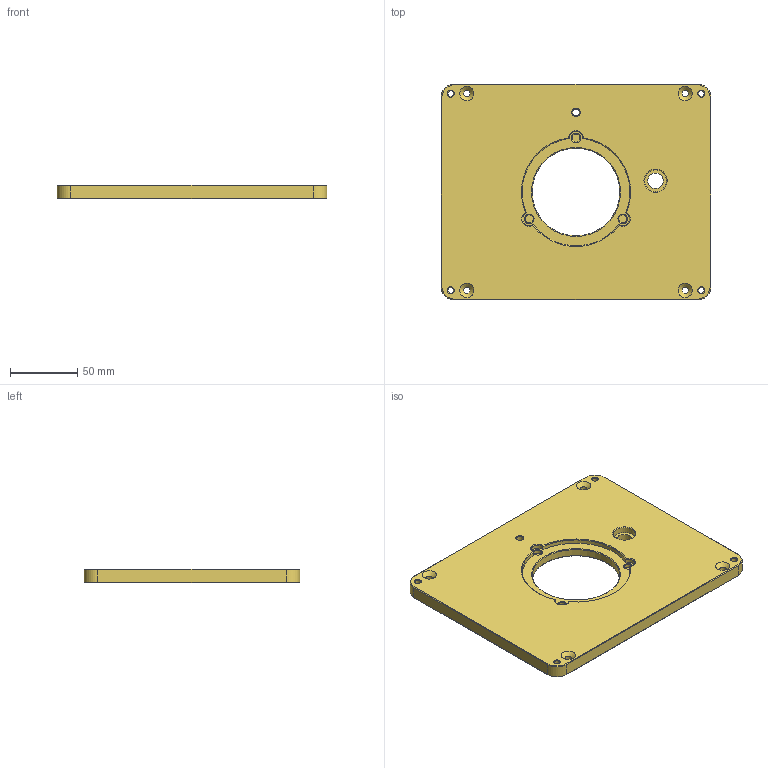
import cadquery as cq
import math

length = 200.0
width = 160.0
thickness = 10.0
corner_radius = 10.0

edge_chamfer = 0.5
chamfer_angle = 45.0

opening_diameter = 65.0
recess_diameter = 80.0
recess_depth = 3.5

screw_count = 3
screw_circle_radius = 40.0
first_screw_angle = 90.0
screw_hole_diameter = 6.01
screw_hole_depth = 3.0
lobe_diameter = 10.0

corner_hole_x = 93.0
corner_hole_y = 73.0
corner_hole_diameter = 4.23
countersunk_hole_x = 81.0
countersunk_hole_diameter = 5.0
countersink_diameter = 10.6
countersink_angle = 90.0

pin_hole_y = 59.0
pin_hole_diameter = 5.04

bushing_x = 59.0
bushing_y = 8.25
bushing_hole_diameter = 11.5
bushing_seat_diameter = 16.2
bushing_seat_depth = 5.0


def corner_points(x, y):
    return [(side * x, end * y) for side in (-1, 1) for end in (-1, 1)]


def screw_points():
    angles = [math.radians(first_screw_angle + 360 * i / screw_count) for i in range(screw_count)]
    return [(screw_circle_radius * math.cos(a), screw_circle_radius * math.sin(a)) for a in angles]


def cut_hole(plate, point, diameter, depth, top=thickness, chamfered=True):
    """Cut a round hole down from height `top`, with or without a chamfered mouth."""
    mouth = cq.Workplane("XY").workplane(offset=top).center(*point)
    plate = plate.cut(mouth.circle(diameter / 2).extrude(-depth))
    if chamfered:
        flare = mouth.circle(diameter / 2 + edge_chamfer).extrude(-edge_chamfer, taper=chamfer_angle)
        plate = plate.cut(flare)
    return plate


def make_plate():
    blank = cq.Workplane("XY").box(length, width, thickness, centered=(True, True, False))
    return blank.edges("|Z").fillet(corner_radius).faces("<Z or >Z").chamfer(edge_chamfer)


def cut_mount(plate):
    centre = (0, 0)
    recess_floor = thickness - recess_depth
    plate = cut_hole(plate, centre, recess_diameter, recess_depth)
    for point in screw_points():
        plate = cut_hole(plate, point, lobe_diameter, recess_depth)
        plate = cut_hole(plate, point, screw_hole_diameter, screw_hole_depth, recess_floor)
    plate = cut_hole(plate, centre, opening_diameter, recess_floor, recess_floor)
    underside_mouth = cq.Workplane("XY").circle(opening_diameter / 2 + edge_chamfer)
    return plate.cut(underside_mouth.extrude(edge_chamfer, taper=chamfer_angle))


def cut_corner_holes(plate):
    for point in corner_points(corner_hole_x, corner_hole_y):
        plate = cut_hole(plate, point, corner_hole_diameter, thickness)
    return (
        plate.faces(">Z")
        .workplane(origin=(0, 0, thickness))
        .pushPoints(corner_points(countersunk_hole_x, corner_hole_y))
        .cskHole(countersunk_hole_diameter, countersink_diameter, countersink_angle)
    )


def cut_pin_hole(plate):
    return cut_hole(plate, (0, pin_hole_y), pin_hole_diameter, thickness)


def cut_bushing_hole(plate):
    point = (bushing_x, bushing_y)
    plate = cut_hole(plate, point, bushing_seat_diameter, bushing_seat_depth)
    seat_floor = thickness - bushing_seat_depth
    return cut_hole(plate, point, bushing_hole_diameter, seat_floor, seat_floor, False)


result = make_plate()
result = cut_mount(result)
result = cut_corner_holes(result)
result = cut_pin_hole(result)
result = cut_bushing_hole(result)